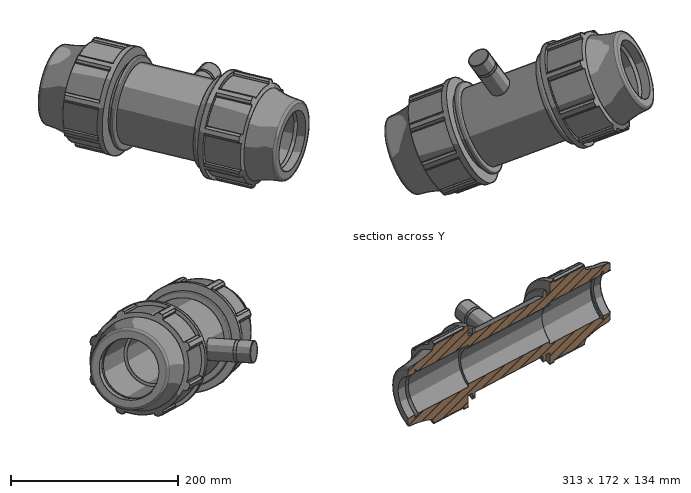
import cadquery as cq
import math

length = 313.0
total_depth = 172.0
middle_x = length / 2

tube_radius = 100.5 / 2
ring_radius = 116.5 / 2
ring_start = 99.2
ring_width = 5.0
ring_rounding = 1.3

flange_radius = 134.0 / 2
flange_start = 86.7
nut_end = 93.5
core_radius = 62.3
shoulder_x = 37.2
shoulder_radius = 57.0
shoulder_slope = 0.4
nose_radius = 49.8
nose_rounding = 3.0
nose_sag_x = 18.8
nose_sag_radius = 51.5

rib_count = 8
rib_half_width = 5.5
rib_crest_half_width = 2.8
rib_side_radius = 64.5

bore_radius = 67.5 / 2
socket_radius = 75 / 2
lip_depth = 11.0
relief_depth = 4.7
relief_end = 15.5
stop_x = nut_end

branch_radius = 27.0 / 2
branch_end_y = total_depth - flange_radius
branch_end_chamfer = 0.5
groove_radius = 26.3 / 2
groove_offset = 18.0
groove_width = 3.8


def shoulder_at(radius):
    """X of the conical nut shoulder at a given radius."""
    return shoulder_x + shoulder_slope * (radius - shoulder_radius)


def revolve_about_x(profile):
    return profile.close().revolve(360, (0, 0, 0), (1, 0, 0))


def make_nut_core():
    """Nose with a flared side, conical shoulder, plain barrel and end flange."""
    round_mid = nose_rounding * (1 - math.sqrt(0.5))
    profile = (
        cq.Workplane("XY")
        .lineTo(0, nose_radius - nose_rounding)
        .threePointArc((round_mid, nose_radius - round_mid), (nose_rounding, nose_radius))
        .threePointArc((nose_sag_x, nose_sag_radius), (shoulder_x, shoulder_radius))
        .lineTo(shoulder_at(core_radius), core_radius)
        .lineTo(flange_start, core_radius)
        .lineTo(flange_start, flange_radius)
        .lineTo(nut_end, flange_radius)
        .lineTo(nut_end, 0)
    )
    return revolve_about_x(profile)


def make_ribs():
    """Bevelled ribs trimmed to the flange radius and to the conical shoulder."""
    envelope = revolve_about_x(
        cq.Workplane("XY")
        .moveTo(shoulder_x, 0)
        .lineTo(shoulder_x, shoulder_radius)
        .lineTo(shoulder_at(flange_radius), flange_radius)
        .lineTo(nut_end, flange_radius)
        .lineTo(nut_end, 0)
    )
    tip_overlap = 3.0
    tip_radius = flange_radius + tip_overlap
    bevel_slope = (rib_half_width - rib_crest_half_width) / (flange_radius - rib_side_radius)
    tip_half_width = rib_crest_half_width - bevel_slope * tip_overlap
    half_outline = [
        (shoulder_radius, rib_half_width),
        (rib_side_radius, rib_half_width),
        (tip_radius, tip_half_width),
    ]
    mirrored = [(radius, -half_width) for radius, half_width in reversed(half_outline)]
    rib = (
        cq.Workplane("YZ", origin=(shoulder_x, 0, 0))
        .polyline(half_outline + mirrored)
        .close()
        .extrude(nut_end - shoulder_x)
    )
    pitch = 360 / rib_count
    ribs = cq.Workplane("XY")
    for index in range(rib_count):
        ribs = ribs.add(rib.rotate((0, 0, 0), (1, 0, 0), (index + 0.5) * pitch))
    return ribs.combine().intersect(envelope)


def make_ring():
    """Stop ring with rounded rims."""
    return (
        cq.Workplane("YZ", origin=(ring_start, 0, 0))
        .circle(ring_radius)
        .extrude(ring_width)
        .edges()
        .fillet(ring_rounding)
    )


def make_socket():
    """Pipe socket with a conical relief behind the mouth lip and a flat stop."""
    return revolve_about_x(
        cq.Workplane("XY")
        .lineTo(0, socket_radius)
        .lineTo(lip_depth, socket_radius)
        .lineTo(lip_depth, socket_radius + relief_depth)
        .lineTo(relief_end, socket_radius)
        .lineTo(stop_x, socket_radius)
        .lineTo(stop_x, 0)
    )


def make_branch():
    """Round branch from the main axis with a shallow groove near its end."""
    groove_far = branch_end_y - groove_offset
    groove_near = groove_far - groove_width
    profile = (
        cq.Workplane("XY", origin=(middle_x, 0, 0))
        .lineTo(branch_radius, 0)
        .lineTo(branch_radius, groove_near)
        .lineTo(groove_radius, groove_near)
        .lineTo(groove_radius, groove_far)
        .lineTo(branch_radius, groove_far)
        .lineTo(branch_radius, branch_end_y - branch_end_chamfer)
        .lineTo(branch_radius - branch_end_chamfer, branch_end_y)
        .lineTo(0, branch_end_y)
    )
    return profile.close().revolve(360, (0, 0, 0), (0, 1, 0))


def at_both_ends(shape):
    return shape.union(shape.mirror("YZ", (middle_x, 0, 0)))


tube = (
    cq.Workplane("YZ", origin=(flange_start, 0, 0))
    .circle(tube_radius)
    .extrude(length - 2 * flange_start)
)
bore = cq.Workplane("YZ").circle(bore_radius).extrude(length)
nut = make_nut_core().union(make_ribs())

result = (
    tube.union(at_both_ends(nut))
    .union(at_both_ends(make_ring()))
    .union(make_branch())
    .cut(bore)
    .cut(at_both_ends(make_socket()))
)